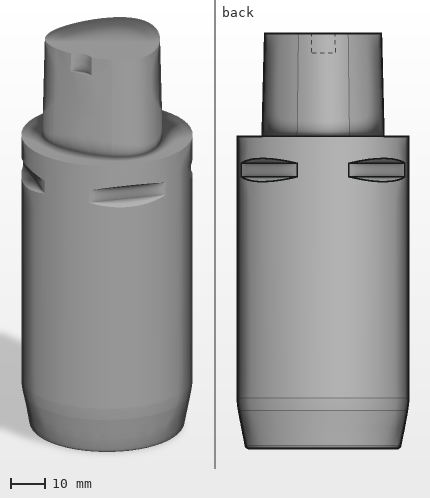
import cadquery as cq
import math

total_height = 121.0
body_diameter = 50.0
body_radius = body_diameter / 2

shank_height = 30.0
shank_base_radius = 17.5
shank_taper = 1 / 40
lobe_height = 1.3
lobe_arc_count = 6
body_top = total_height - shank_height

notch_radius = 4.8
notch_center_y = -18.8
notch_depth = 5.6

slot_count = 4
slot_first_angle = 45.0
slot_floor_distance = 22.1
slot_floor_height = 3.9
slot_flare = 1.5
slot_center_z = 81.2

blend_top = 14.9
cone_angle = math.radians(11.0)
blend_radius = 19.4
foot_fillet = 1.2


def make_body():
    """Revolved cylinder whose lower end blends into a cone."""
    blend_bottom = blend_top - blend_radius * math.sin(cone_angle)
    cone_top_radius = body_radius - blend_radius * (1 - math.cos(cone_angle))
    foot_radius = cone_top_radius - blend_bottom * math.tan(cone_angle)
    half_angle = cone_angle / 2
    blend_middle = (
        body_radius - blend_radius * (1 - math.cos(half_angle)),
        blend_top - blend_radius * math.sin(half_angle),
    )
    body = (
        cq.Workplane("XZ")
        .moveTo(0, 0)
        .lineTo(foot_radius, 0)
        .lineTo(cone_top_radius, blend_bottom)
        .threePointArc(blend_middle, (body_radius, blend_top))
        .lineTo(body_radius, body_top)
        .lineTo(0, body_top)
        .close()
        .revolve(360, (0, 0, 0), (0, 1, 0))
    )
    return body.faces("<Z").edges().fillet(foot_fillet)


def lobed_wire(mean_radius, z):
    """Closed hypotrochoid with one lobe toward +Y, split between lobes and flats."""
    def point(angle):
        x = -mean_radius * math.sin(angle) + lobe_height * math.sin(2 * angle)
        y = mean_radius * math.cos(angle) + lobe_height * math.cos(2 * angle)
        return cq.Vector(x, y, z)

    def tangent(angle):
        x = -mean_radius * math.cos(angle) + 2 * lobe_height * math.cos(2 * angle)
        y = -mean_radius * math.sin(angle) - 2 * lobe_height * math.sin(2 * angle)
        return cq.Vector(x, y, 0)

    arc_angle = 2 * math.pi / lobe_arc_count
    steps = 6
    edges = []
    for arc in range(lobe_arc_count):
        start = (arc - 0.5) * arc_angle
        end = start + arc_angle
        points = [point(start + arc_angle * step / steps) for step in range(steps + 1)]
        edges.append(cq.Edge.makeSpline(points, tangents=[tangent(start), tangent(end)]))
    return cq.Wire.assembleEdges(edges)


def make_shank():
    top_radius = shank_base_radius - shank_taper * shank_height
    base = lobed_wire(shank_base_radius, body_top)
    top = lobed_wire(top_radius, total_height)
    return cq.Workplane(obj=cq.Solid.makeLoft([base, top], True))


def make_notch():
    return (
        cq.Workplane("XY", origin=(0, notch_center_y, total_height - notch_depth))
        .circle(notch_radius)
        .extrude(notch_depth)
    )


def make_slot(angle):
    """Straight slot cutter with a flat floor and sides that open outward."""
    floor_half = slot_floor_height / 2
    mouth_half = floor_half + slot_flare
    return (
        cq.Workplane("XZ", origin=(0, 0, slot_center_z))
        .polyline([
            (slot_floor_distance, -floor_half),
            (body_radius, -mouth_half),
            (body_radius, mouth_half),
            (slot_floor_distance, floor_half),
        ])
        .close()
        .extrude(body_radius, both=True)
        .rotate((0, 0, 0), (0, 0, 1), angle)
    )


result = make_body().union(make_shank()).cut(make_notch())
for slot_index in range(slot_count):
    slot_angle = slot_first_angle + slot_index * 360 / slot_count
    result = result.cut(make_slot(slot_angle))